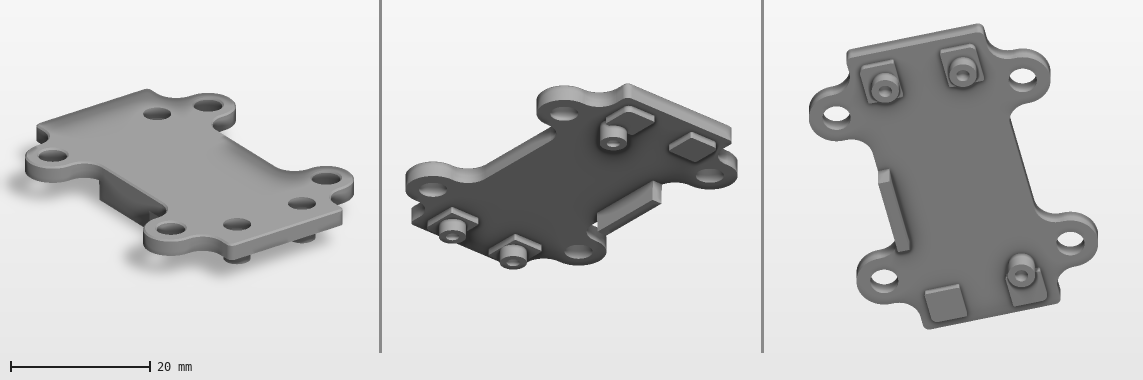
import cadquery as cq

plate_length = 48.26
plate_width = 20.32
plate_thickness = 2.54
corner_radius = 0.9
top_chamfer = 0.254

overall_width = 35.56
ear_radius = 4.0
ear_x = 14.5
ear_y = overall_width / 2 - ear_radius
ear_blend_radius = 3.15
ear_hole_diameter = 4.06

pin_left_x = -16.36
pin_right_x = 19.20
pin_back_y = 6.08
pin_front_y = -5.43
pin_centers = [(pin_left_x, pin_back_y), (pin_right_x, pin_back_y), (pin_right_x, pin_front_y)]
pin_diameter = 3.91
pin_length = 2.90
pin_hole_diameter = 1.93
counterbore_diameter = 4.04
counterbore_depth = 1.65

pad_height = 1.016
pad_inner_y = 3.42
pad_outer_y = 8.56
left_pad_outer_x = -22.50
left_pad_inner_x = -17.42
right_pad_inner_x = 16.45
right_pad_outer_x = 22.48
pad_outer_corner_radius = 0.89
pad_small_corner_radius = 0.25

tab_center_x = -1.95
tab_top_length = 12.35
tab_bottom_length = 12.15
tab_thickness = 1.70
tab_height = 3.17


def make_plate():
    """Rounded plate with blended ears and a chamfered top rim, including the ear holes."""
    ear_centers = [(sx * ear_x, sy * ear_y) for sx in (-1, 1) for sy in (-1, 1)]
    body = cq.Workplane("XY").rect(plate_length, plate_width).extrude(plate_thickness)
    body = body.edges("|Z").fillet(corner_radius)
    ear_ends = cq.Workplane("XY").pushPoints(ear_centers).circle(ear_radius).extrude(plate_thickness)
    ear_strips = (
        cq.Workplane("XY")
        .pushPoints([(-ear_x, 0), (ear_x, 0)])
        .rect(2 * ear_radius, 2 * ear_y)
        .extrude(plate_thickness)
    )
    plate = body.union(ear_strips).union(ear_ends)

    root_limit_x = plate_length / 2 - 2 * corner_radius
    root_limit_y = (plate_width / 2 + ear_y) / 2
    ear_roots = plate.edges("|Z").filter(
        lambda edge: abs(edge.Center().x) < root_limit_x and abs(edge.Center().y) < root_limit_y
    )
    plate = ear_roots.fillet(ear_blend_radius)

    ear_holes = (
        cq.Workplane("XY").pushPoints(ear_centers).circle(ear_hole_diameter / 2).extrude(plate_thickness)
    )
    return plate.cut(ear_holes).faces(">Z").edges().chamfer(top_chamfer)


def make_pad(outer_x, inner_x, side):
    """Pad on the +Y (side = 1) or -Y (side = -1) half,
    with its largest rounding nearest the plate's corner.
    """
    center_x = (outer_x + inner_x) / 2
    center_y = side * (pad_outer_y + pad_inner_y) / 2
    pad = (
        cq.Workplane("XY")
        .center(center_x, center_y)
        .rect(abs(outer_x - inner_x), pad_outer_y - pad_inner_y)
        .extrude(-pad_height)
    )
    outer_corner = cq.selectors.NearestToPointSelector((outer_x, side * pad_outer_y, -pad_height / 2))
    small_corners = cq.selectors.ParallelDirSelector(cq.Vector(0, 0, 1)) - outer_corner
    pad = pad.edges(small_corners).fillet(pad_small_corner_radius)
    return pad.edges("|Z").edges(outer_corner).fillet(pad_outer_corner_radius)


def make_pins():
    return cq.Workplane("XY").pushPoints(pin_centers).circle(pin_diameter / 2).extrude(-pin_length)


def make_tab():
    """Tab flush with the front edge of the plate."""
    top_half = tab_top_length / 2
    bottom_half = tab_bottom_length / 2
    return (
        cq.Workplane("XZ", origin=(tab_center_x, -plate_width / 2, 0))
        .polyline([
            (-top_half, 0),
            (top_half, 0),
            (bottom_half, -tab_height),
            (-bottom_half, -tab_height),
        ])
        .close()
        .extrude(-tab_thickness)
    )


def make_pin_bores():
    """Through holes in the pins with counterbores in the plate."""
    top = cq.Workplane("XY").workplane(offset=plate_thickness).pushPoints(pin_centers)
    holes = top.circle(pin_hole_diameter / 2).extrude(-(plate_thickness + pin_length))
    counterbores = top.circle(counterbore_diameter / 2).extrude(-counterbore_depth)
    return holes.union(counterbores)


result = make_plate()
for pad_side in (-1, 1):
    result = result.union(make_pad(left_pad_outer_x, left_pad_inner_x, pad_side))
    result = result.union(make_pad(right_pad_outer_x, right_pad_inner_x, pad_side))
result = result.union(make_pins()).union(make_tab()).cut(make_pin_bores())